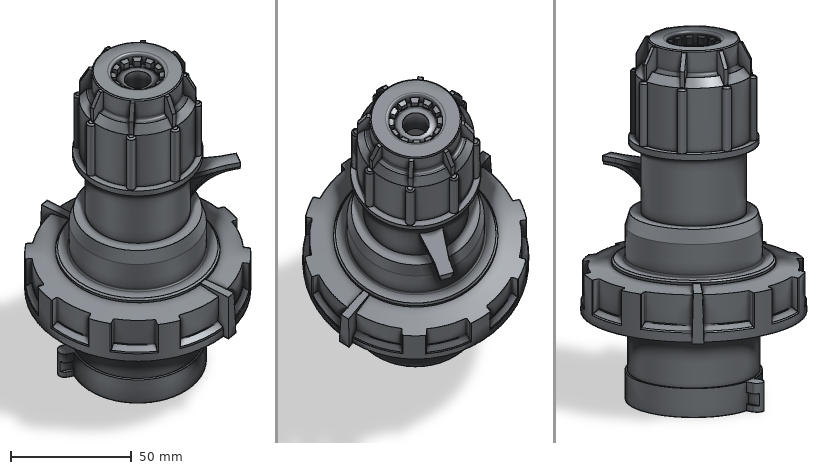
import cadquery as cq
import math


COLLAR_TOP = 12.5
RING_BOTTOM = 37.9
RING_RIM_TOP = 57.1
FLANGE_BASE = 58.8
FLANGE_TOP = 60.7
SHELL_CONE_BOTTOM = 74.8
SHELL_SHOULDER = 80.8
CAP_BOTTOM = 110.6
TUBE_TOP = 138.0
OVERALL_HEIGHT = 155.6

COLLAR_RADIUS = 28.5
CARRIER_RADIUS = 27.5
KEY_NOSE_RADIUS = 3.0
KEY_REACH = 34.6
KEY_WAIST_WIDTH = 3.4
KEY_WAIST_BOTTOM = 2.8
KEY_WAIST_TOP = 7.9

RING_RADIUS = 46.93
POCKET_COUNT = 10
POCKET_PITCH = 360 / POCKET_COUNT
POCKET_FLOOR_RADIUS = 44.0
POCKET_FLOOR_WIDTH = 17.4
POCKET_RIM_WIDTH = 19.2
POCKET_FLOOR_BOTTOM = 44.5
POCKET_RIM_BOTTOM = 42.3
POCKET_RIM_CHAMFER = 0.4
POCKET_FLOOR_FILLET = 0.5
POCKET_OVERCUT = 2.0
WALL_TOLERANCE = 1e-4
BAR_ANGLE = 36.0
BAR_OUTER_RADIUS = 49.6
BAR_INNER_WIDTH = 4.2
BAR_OUTER_WIDTH = 5.0
BAR_TOP = 59.6
BAR_DRAFT = 1.5

SHELL_RADIUS = COLLAR_RADIUS
SHELL_FLANGE_RADIUS = 34.1
SHELL_FLANGE_CHAMFER = 0.8
SHELL_FLANGE_FILLET = 0.8
SHOULDER_RADIUS = 26.7
TUBE_RADIUS = 21.95

TAB_REACH = 43.5
TAB_TOP = 98.6
TAB_PLATE_THICKNESS = 2.3
TAB_EDGE_THICKNESS = 1.4
TAB_TIP_WIDTH = 6.3
TAB_ROOT_WIDTH = 10.6
TAB_FLARE_START = 36.9
TAB_ROOT = 20.0
TAB_CURVE_RADIUS = 20.0
TAB_CURVE_START = 40.0
TAB_UNDERSIDE_WIDTH = 5.0
TAB_WEB_WIDTH = 3.0
TAB_POCKET_START = 35.1
TAB_POCKET_MIDDLE = (28.0, 92.1)
TAB_POCKET_END = (21.0, 83.0)

FLANGE_RADIUS = 27.1
FLANGE_THICKNESS = 2.7
CAP_RADIUS = 24.3
CAP_CONE_BOTTOM = 141.0
CAP_CONE_TOP = 144.8
CAP_CONE_TOP_RADIUS = 21.3
NECK_RADIUS = 19.0
NECK_FILLET = 1.5
NECK_EDGE_CHAMFER = 0.5
CAP_BORE_RADIUS = 11.2
CAP_BORE_FILLET = 1.3
GRIP_COUNT = 8
GRIP_PITCH = 360 / GRIP_COUNT
GRIP_RIB_CENTRE = 24.7
GRIP_RIB_RADIUS = 2.0
GRIP_RIB_TOP = 141.0
GRIP_RIB_CHAMFER = 0.8
FIN_THICKNESS = 2.0
FIN_OUTER_RADIUS = 24.2
FIN_SLANT_BOTTOM = 148.0
FIN_TOP_RADIUS = 20.4
FIN_TOP = OVERALL_HEIGHT - NECK_EDGE_CHAMFER

CAGE_SLOT_COUNT = 12
CAGE_SLOT_WIDTH = 2.0
CAGE_INNER_RADIUS = 9.0
CAGE_INNER_TOP = 153.2
CAGE_OUTER_TOP = 153.8
SEAL_RADIUS = 9.3
SEAL_RIM_TOP = 150.1
SEAL_CONE_RADIUS = 8.5
SEAL_CONE_TOP = 150.9
SEAL_HOLE_RADIUS = 5.5


def cylinder(radius, bottom, top):
    return cq.Workplane("XY").workplane(offset=bottom).circle(radius).extrude(top - bottom)


def around_axis(body, angle):
    return body.rotate((0, 0, 0), (0, 0, 1), angle)


def make_carrier():
    """Lower tube with a thicker collar and a waisted, round-nosed key on the -Y side."""
    carrier = cylinder(CARRIER_RADIUS, 0, RING_BOTTOM)
    collar = cylinder(COLLAR_RADIUS, 0, COLLAR_TOP)
    nose_centre = KEY_REACH - KEY_NOSE_RADIUS
    key = (
        cq.Workplane("XY")
        .moveTo(-KEY_NOSE_RADIUS, 0)
        .lineTo(-KEY_NOSE_RADIUS, -nose_centre)
        .threePointArc((0, -KEY_REACH), (KEY_NOSE_RADIUS, -nose_centre))
        .lineTo(KEY_NOSE_RADIUS, 0)
        .close()
        .extrude(COLLAR_TOP)
    )
    notch_depth = KEY_NOSE_RADIUS - KEY_WAIST_WIDTH / 2
    notch_height = KEY_WAIST_TOP - KEY_WAIST_BOTTOM
    for side in (-1, 1):
        notch = (
            cq.Workplane("XY")
            .workplane(offset=KEY_WAIST_BOTTOM)
            .center(side * (KEY_NOSE_RADIUS - notch_depth / 2), -KEY_REACH / 2)
            .rect(notch_depth, KEY_REACH)
            .extrude(notch_height)
        )
        key = key.cut(notch)
    return carrier.union(collar).union(key)


def make_ring_pocket():
    """Grip pocket at +X, open at the top, with drafted sides and a floor that follows the ring."""
    floor_slope = (POCKET_FLOOR_BOTTOM - POCKET_RIM_BOTTOM) / (RING_RADIUS - POCKET_FLOOR_RADIUS)
    cutter_radius = RING_RADIUS + POCKET_OVERCUT
    annulus = (
        cq.Workplane("XZ")
        .polyline([
            (POCKET_FLOOR_RADIUS, POCKET_FLOOR_BOTTOM),
            (cutter_radius, POCKET_RIM_BOTTOM - floor_slope * POCKET_OVERCUT),
            (cutter_radius, FLANGE_TOP),
            (POCKET_FLOOR_RADIUS, FLANGE_TOP),
        ])
        .close()
        .revolve(360, (0, 0, 0), (0, 1, 0))
    )
    floor_half = POCKET_FLOOR_WIDTH / 2
    rim_half = POCKET_RIM_WIDTH / 2
    floor_corner = math.sqrt(POCKET_FLOOR_RADIUS**2 - floor_half**2)
    rim_corner = math.sqrt(RING_RADIUS**2 - rim_half**2)
    side_slope = (rim_half - floor_half) / (rim_corner - floor_corner)
    inner_half = floor_half - side_slope * floor_corner
    outer_half = inner_half + side_slope * cutter_radius
    wedge = (
        cq.Workplane("XY")
        .workplane(offset=RING_BOTTOM)
        .polyline([
            (floor_corner, -floor_half),
            (cutter_radius, -outer_half),
            (cutter_radius, outer_half),
            (floor_corner, floor_half),
        ])
        .close()
        .extrude(FLANGE_TOP - RING_BOTTOM)
    )
    pocket = annulus.intersect(wedge)
    floor_middle = (POCKET_FLOOR_RADIUS, 0, (POCKET_FLOOR_BOTTOM + FLANGE_TOP) / 2)
    floor = pocket.faces(cq.selectors.NearestToPointSelector(floor_middle))
    return floor.edges("not >Z").fillet(POCKET_FLOOR_FILLET)


def make_ring_bar():
    """Drafted radial bar along +X, from the shell flange to just outside the ring's rim."""
    bar = (
        cq.Workplane("XY")
        .workplane(offset=RING_BOTTOM)
        .polyline([
            (SHELL_RADIUS, -BAR_INNER_WIDTH / 2),
            (BAR_OUTER_RADIUS, -BAR_OUTER_WIDTH / 2),
            (BAR_OUTER_RADIUS, BAR_OUTER_WIDTH / 2),
            (SHELL_RADIUS, BAR_INNER_WIDTH / 2),
        ])
        .close()
        .extrude(BAR_TOP - RING_BOTTOM, taper=BAR_DRAFT)
    )
    return bar.cut(cylinder(SHELL_FLANGE_RADIUS, RING_BOTTOM, BAR_TOP))


def is_pocket_rim(edge):
    """True for the edges where a pocket breaks through the ring's outer wall, below its top."""
    corner_radii = [math.hypot(vertex.X, vertex.Y) for vertex in edge.Vertices()]
    on_wall = all(math.isclose(radius, RING_RADIUS, abs_tol=WALL_TOLERANCE) for radius in corner_radii)
    return on_wall and RING_BOTTOM < edge.Center().z < RING_RIM_TOP - POCKET_RIM_CHAMFER


def make_coupling_ring():
    """Ring with a conical top and ten grip pockets; bars replace two of the lands between them."""
    ring = (
        cq.Workplane("XZ")
        .polyline([
            (SHELL_RADIUS, RING_BOTTOM),
            (RING_RADIUS, RING_BOTTOM),
            (RING_RADIUS, RING_RIM_TOP),
            (SHELL_FLANGE_RADIUS, FLANGE_BASE),
            (SHELL_RADIUS, FLANGE_BASE),
        ])
        .close()
        .revolve(360, (0, 0, 0), (0, 1, 0))
    )
    bar_angles = (BAR_ANGLE, BAR_ANGLE + 180)
    pocket_angles = [(index + 0.5) * POCKET_PITCH for index in range(POCKET_COUNT)]
    pocket = make_ring_pocket()
    for angle in (*pocket_angles, *bar_angles):
        ring = ring.cut(around_axis(pocket, angle))
    rims = ring.edges().filter(is_pocket_rim)
    ring = rims.chamfer(POCKET_RIM_CHAMFER)
    bar = make_ring_bar()
    for angle in bar_angles:
        ring = ring.union(around_axis(bar, angle))
    return ring


def make_tab_plate():
    """Flat top of the finger tab, flared towards the tube."""
    return (
        cq.Workplane("XY")
        .workplane(offset=TAB_TOP - TAB_PLATE_THICKNESS)
        .polyline([
            (-TAB_ROOT_WIDTH / 2, TAB_ROOT),
            (TAB_ROOT_WIDTH / 2, TAB_ROOT),
            (TAB_TIP_WIDTH / 2, TAB_FLARE_START),
            (TAB_TIP_WIDTH / 2, TAB_REACH),
            (-TAB_TIP_WIDTH / 2, TAB_REACH),
            (-TAB_TIP_WIDTH / 2, TAB_FLARE_START),
        ])
        .close()
        .extrude(TAB_PLATE_THICKNESS)
    )


def make_tab_underside():
    """Curved support under the tab plate, recessed on both flanks to a thin web."""
    plate_bottom = TAB_TOP - TAB_PLATE_THICKNESS
    edge_bottom = plate_bottom - TAB_EDGE_THICKNESS
    curve_centre_z = edge_bottom - TAB_CURVE_RADIUS

    def on_curve(y):
        return (y, curve_centre_z + math.sqrt(TAB_CURVE_RADIUS**2 - (TAB_CURVE_START - y)**2))

    curve_end = TAB_POCKET_END[0]
    underside = (
        cq.Workplane("YZ")
        .moveTo(curve_end, plate_bottom)
        .lineTo(TAB_REACH, plate_bottom)
        .lineTo(TAB_REACH, edge_bottom)
        .lineTo(TAB_CURVE_START, edge_bottom)
        .threePointArc(on_curve((TAB_CURVE_START + curve_end) / 2), on_curve(curve_end))
        .close()
        .extrude(TAB_UNDERSIDE_WIDTH / 2, both=True)
    )
    pocket_depth = (TAB_UNDERSIDE_WIDTH - TAB_WEB_WIDTH) / 2
    for start in (TAB_WEB_WIDTH / 2, -TAB_UNDERSIDE_WIDTH / 2):
        pocket = (
            cq.Workplane("YZ", origin=(start, 0, 0))
            .moveTo(TAB_POCKET_START, plate_bottom)
            .threePointArc(TAB_POCKET_MIDDLE, TAB_POCKET_END)
            .lineTo(TAB_POCKET_END[0], plate_bottom)
            .close()
            .extrude(pocket_depth)
        )
        underside = underside.cut(pocket)
    return underside


def make_shell():
    """Back shell: wide base with a conical shoulder, retaining flange, cable tube and finger tab."""
    fillet_rise = SHELL_FLANGE_FILLET * (1 - math.sqrt(0.5))
    shell = (
        cq.Workplane("XZ")
        .polyline([
            (0, RING_BOTTOM),
            (SHELL_RADIUS, RING_BOTTOM),
            (SHELL_RADIUS, FLANGE_BASE),
            (SHELL_FLANGE_RADIUS, FLANGE_BASE),
            (SHELL_FLANGE_RADIUS, FLANGE_TOP - SHELL_FLANGE_CHAMFER),
            (SHELL_FLANGE_RADIUS - SHELL_FLANGE_CHAMFER, FLANGE_TOP),
            (SHELL_RADIUS + SHELL_FLANGE_FILLET, FLANGE_TOP),
        ])
        .threePointArc(
            (SHELL_RADIUS + fillet_rise, FLANGE_TOP + fillet_rise),
            (SHELL_RADIUS, FLANGE_TOP + SHELL_FLANGE_FILLET),
        )
        .lineTo(SHELL_RADIUS, SHELL_CONE_BOTTOM)
        .lineTo(SHOULDER_RADIUS, SHELL_SHOULDER)
        .lineTo(TUBE_RADIUS, SHELL_SHOULDER)
        .lineTo(TUBE_RADIUS, TUBE_TOP)
        .lineTo(0, TUBE_TOP)
        .close()
        .revolve(360, (0, 0, 0), (0, 1, 0))
    )
    return shell.union(make_tab_plate()).union(make_tab_underside())


def make_grip():
    """Round rib and slanted fin at +X, one of the cap's grips."""
    rib = (
        cq.Workplane("XY")
        .workplane(offset=CAP_BOTTOM)
        .center(GRIP_RIB_CENTRE, 0)
        .circle(GRIP_RIB_RADIUS)
        .extrude(GRIP_RIB_TOP - CAP_BOTTOM)
        .faces(">Z")
        .chamfer(GRIP_RIB_CHAMFER)
    )
    fin_root = NECK_RADIUS - FIN_THICKNESS / 2
    fin = (
        cq.Workplane("XZ")
        .polyline([
            (fin_root, TUBE_TOP),
            (FIN_OUTER_RADIUS, TUBE_TOP),
            (FIN_OUTER_RADIUS, FIN_SLANT_BOTTOM),
            (FIN_TOP_RADIUS, FIN_TOP),
            (fin_root, FIN_TOP),
        ])
        .close()
        .extrude(FIN_THICKNESS / 2, both=True)
    )
    return rib.union(fin)


def make_cap():
    """Flanged cable cap with a conical shoulder, a narrower neck and eight grips."""
    fillet_centre = (NECK_RADIUS + NECK_FILLET, CAP_CONE_TOP + NECK_FILLET)
    fillet_offset = NECK_FILLET * math.sqrt(0.5)
    cap = (
        cq.Workplane("XZ")
        .moveTo(0, CAP_BOTTOM)
        .lineTo(FLANGE_RADIUS, CAP_BOTTOM)
        .lineTo(FLANGE_RADIUS, CAP_BOTTOM + FLANGE_THICKNESS)
        .lineTo(CAP_RADIUS, CAP_BOTTOM + FLANGE_THICKNESS)
        .lineTo(CAP_RADIUS, CAP_CONE_BOTTOM)
        .lineTo(CAP_CONE_TOP_RADIUS, CAP_CONE_TOP)
        .lineTo(fillet_centre[0], CAP_CONE_TOP)
        .threePointArc(
            (fillet_centre[0] - fillet_offset, fillet_centre[1] - fillet_offset),
            (NECK_RADIUS, fillet_centre[1]),
        )
        .lineTo(NECK_RADIUS, OVERALL_HEIGHT - NECK_EDGE_CHAMFER)
        .lineTo(NECK_RADIUS - NECK_EDGE_CHAMFER, OVERALL_HEIGHT)
        .lineTo(0, OVERALL_HEIGHT)
        .close()
        .revolve(360, (0, 0, 0), (0, 1, 0))
    )
    grip = make_grip()
    for index in range(GRIP_COUNT):
        cap = cap.union(around_axis(grip, (index + 0.5) * GRIP_PITCH))
    cap = cap.cut(cylinder(TUBE_RADIUS, CAP_BOTTOM, TUBE_TOP))
    cap = cap.cut(cylinder(CAP_BORE_RADIUS, TUBE_TOP, OVERALL_HEIGHT))
    bore_edge = cq.selectors.RadiusNthSelector(0)
    return cap.faces(">Z").edges(bore_edge).fillet(CAP_BORE_FILLET)


def make_cage():
    """Clamp cage: sleeve around the seal, topped by sloping teeth that overhang the seal."""
    cage = (
        cq.Workplane("XZ")
        .polyline([
            (SEAL_RADIUS, TUBE_TOP),
            (CAP_BORE_RADIUS, TUBE_TOP),
            (CAP_BORE_RADIUS, CAGE_OUTER_TOP),
            (CAGE_INNER_RADIUS, CAGE_INNER_TOP),
            (CAGE_INNER_RADIUS, SEAL_RIM_TOP),
            (SEAL_RADIUS, SEAL_RIM_TOP),
        ])
        .close()
        .revolve(360, (0, 0, 0), (0, 1, 0))
    )
    slot = (
        cq.Workplane("XY")
        .workplane(offset=SEAL_RIM_TOP)
        .center(CAP_BORE_RADIUS, 0)
        .rect(CAP_BORE_RADIUS, CAGE_SLOT_WIDTH)
        .extrude(CAGE_OUTER_TOP - SEAL_RIM_TOP)
    )
    for index in range(CAGE_SLOT_COUNT):
        cage = cage.cut(around_axis(slot, index * 360 / CAGE_SLOT_COUNT))
    return cage


def make_seal():
    """Cable seal: bush with a low conical top and a cable hole."""
    return (
        cq.Workplane("XZ")
        .polyline([
            (SEAL_HOLE_RADIUS, TUBE_TOP),
            (SEAL_RADIUS, TUBE_TOP),
            (SEAL_RADIUS, SEAL_RIM_TOP),
            (SEAL_CONE_RADIUS, SEAL_RIM_TOP),
            (SEAL_HOLE_RADIUS, SEAL_CONE_TOP),
        ])
        .close()
        .revolve(360, (0, 0, 0), (0, 1, 0))
    )


carrier = make_carrier()
coupling_ring = make_coupling_ring()
shell = make_shell()
cap = make_cap()
cage = make_cage()
seal = make_seal()

result = cq.Compound.makeCompound([
    carrier.solids().val(),
    coupling_ring.solids().val(),
    shell.solids().val(),
    cap.solids().val(),
    cage.solids().val(),
    seal.solids().val(),
])